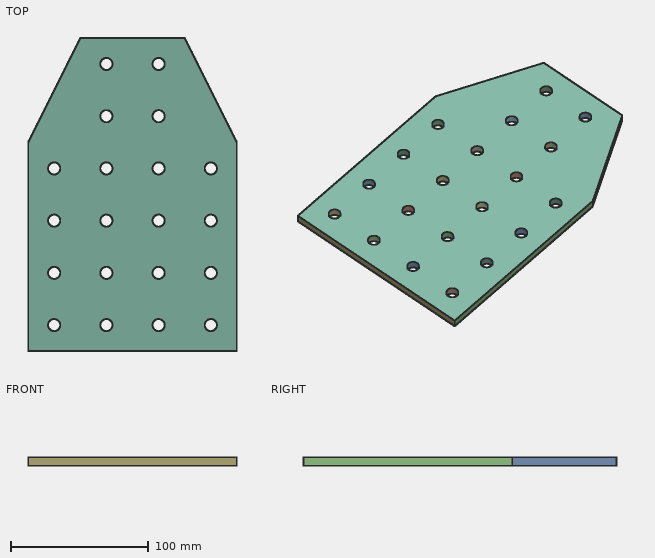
import cadquery as cq

length = 228.5
thickness = 6.5
hole_diameter = 8.7
rows = 6
columns = 4
tapered_rows = 2

pitch = length / rows
width = columns * pitch
end_width = width / 2
taper_start = length / 2 - tapered_rows * pitch


def plate():
    """Flat plate, centred in X and Y, tapering towards +Y."""
    outline = [
        (-width / 2, -length / 2),
        (width / 2, -length / 2),
        (width / 2, taper_start),
        (end_width / 2, length / 2),
        (-end_width / 2, length / 2),
        (-width / 2, taper_start),
    ]
    return cq.Workplane("XY").polyline(outline).close().extrude(thickness)


def hole_centres():
    """Grid points, leaving out the outer columns in the tapered rows."""
    centres = []
    for row in range(rows):
        in_taper = row >= rows - tapered_rows
        for column in range(columns):
            is_outer = column in (0, columns - 1)
            if in_taper and is_outer:
                continue
            x = (column + 0.5) * pitch - width / 2
            y = (row + 0.5) * pitch - length / 2
            centres.append((x, y))
    return centres


result = plate().faces(">Z").workplane(origin=(0, 0, thickness)).pushPoints(hole_centres()).hole(hole_diameter)